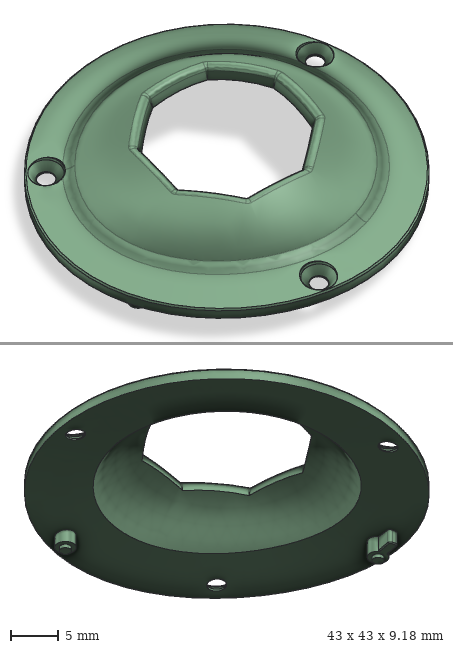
import cadquery as cq
import math

FLANGE_RADIUS = 21.5
FLANGE_THICKNESS = 1.33
FLANGE_SLOPE = 0.1
FLANGE_EDGE_CHAMFER = 0.18
RIM_BOTTOM_HEIGHT = 1.87
RIPPLES = ((1, 0.383, -35.4), (2, 0.377, -49.5), (3, 0.128, -56.2))
RIPPLE_POINTS = 36
RING_START_ANGLE = 210

DOME_OUTER_CENTRE_HEIGHT = -9.0
DOME_OUTER_RADIUS = 20.69
DOME_INNER_CENTRE_HEIGHT = -6.9
DOME_INNER_RADIUS = 17.0
DOME_FOOT_FILLET = 2.0
FOOT_BOX = 18.0
FOOT_MIN_LENGTH = 35.0

WINDOW_SIDES = 8
WINDOW_CORNER_RADIUS = 9.3
WINDOW_TAPER = 18.0
WINDOW_TURN = -3.0
WINDOW_CORNER_FILLET = 0.85
WINDOW_EDGE_FILLET = 0.7
WINDOW_RIM_MIN_HEIGHT = 8.5
WINDOW_RIM_BOX = 11.0

PITCH_RADIUS = 19.2
SCREW_ANGLES = (90, 210, 330)
SCREW_HOLE_DIAMETER = 2.1
SCREW_HEAD_DIAMETER = 4.1
SCREW_CONE_DIAMETER = 3.86
SCREW_LIP_DEPTH = 0.25

STUD_ANGLES = (30, 270)
STUD_DIAMETER = 2.3
STUD_BOTTOM = 0.45
TIP_DIAMETER = 1.3

KEY_ANGLE = 270
KEY_LENGTH = 3.1
KEY_WIDTH = 1.16
KEY_CORNER_FILLET = 0.4
KEY_BOTTOM_CHAMFER = 0.12

START_BORE_RADIUS = 5.0
CLEAR_HEIGHT = 15.0


def polar(radius, degrees):
    angle = math.radians(degrees)
    return radius * math.cos(angle), radius * math.sin(angle)


def ripple(degrees):
    return sum(
        height * math.cos(math.radians(waves * (degrees - crest)))
        for waves, height, crest in RIPPLES
    )


def flange_bottom(radius, degrees):
    """Height of the underside, which is straight along every radius."""
    cone = FLANGE_SLOPE * (FLANGE_RADIUS - radius)
    return RIM_BOTTOM_HEIGHT + cone + ripple(degrees) * radius / FLANGE_RADIUS


def flange_ring(radius, lift):
    """Closed curve around the flange, `lift` above its underside."""
    step = 360 / RIPPLE_POINTS
    points = []
    for i in range(RIPPLE_POINTS):
        degrees = RING_START_ANGLE + i * step
        x, y = polar(radius, degrees)
        points.append(cq.Vector(x, y, flange_bottom(radius, degrees) + lift))
    return cq.Edge.makeSpline(points, periodic=True)


def ruled_ring(rings):
    """Ring-shaped solid with ruled faces from each closed curve to the next, and back to the first."""
    faces = [cq.Face.makeRuledSurface(a, b) for a, b in zip(rings, rings[1:] + rings[:1])]
    return cq.Workplane(cq.Solid.makeSolid(cq.Shell.makeShell(faces)).fix())


def flange():
    edge_height = FLANGE_THICKNESS - FLANGE_EDGE_CHAMFER
    return ruled_ring([
        flange_ring(START_BORE_RADIUS, 0),
        flange_ring(FLANGE_RADIUS, 0),
        flange_ring(FLANGE_RADIUS, edge_height),
        flange_ring(FLANGE_RADIUS - FLANGE_EDGE_CHAMFER, FLANGE_THICKNESS),
        flange_ring(START_BORE_RADIUS, FLANGE_THICKNESS),
    ])


def dome_ball(radius, centre_height):
    return cq.Workplane("XY").sphere(radius).translate((0, 0, centre_height))


def above_flange():
    """Space from the middle of the flange thickness upward, around the starting bore."""
    middle = FLANGE_THICKNESS / 2
    return ruled_ring([
        flange_ring(START_BORE_RADIUS, middle),
        flange_ring(FLANGE_RADIUS, middle),
        flange_ring(FLANGE_RADIUS, CLEAR_HEIGHT),
        flange_ring(START_BORE_RADIUS, CLEAR_HEIGHT),
    ])


def centred_box(half_width, floor):
    """Selector for edges wholly inside a box around the Z axis, above `floor`."""
    return cq.selectors.BoxSelector(
        (-half_width, -half_width, floor),
        (half_width, half_width, CLEAR_HEIGHT),
        boundingbox=True,
    )


def flange_with_dome():
    outside = dome_ball(DOME_OUTER_RADIUS, DOME_OUTER_CENTRE_HEIGHT)
    body = flange().union(outside.intersect(above_flange()))
    foot = body.edges(centred_box(FOOT_BOX, 0)).filter(
        lambda edge: edge.Length() > FOOT_MIN_LENGTH
    )
    inside = dome_ball(DOME_INNER_RADIUS, DOME_INNER_CENTRE_HEIGHT)
    return foot.fillet(DOME_FOOT_FILLET).cut(inside)


def cut_window(body):
    """Cut the octagon and round its corners and its upper edge."""
    bottom = DOME_INNER_CENTRE_HEIGHT + math.sqrt(DOME_INNER_RADIUS**2 - WINDOW_CORNER_RADIUS**2)
    cutter = (
        cq.Workplane("XY", origin=(0, 0, bottom))
        .polygon(WINDOW_SIDES, 2 * WINDOW_CORNER_RADIUS)
        .extrude(CLEAR_HEIGHT - bottom, taper=-WINDOW_TAPER)
        .rotate((0, 0, 0), (0, 0, 1), WINDOW_TURN)
        .edges("not #Z")
        .fillet(WINDOW_CORNER_FILLET)
    )
    opened = body.cut(cutter)
    rim = opened.edges(centred_box(WINDOW_RIM_BOX, WINDOW_RIM_MIN_HEIGHT))
    return rim.fillet(WINDOW_EDGE_FILLET)


def screw_cutter(degrees):
    """Clearance hole with a 45 degree countersink and a steeper lip at the top of the flange."""
    x, y = polar(PITCH_RADIUS, degrees)
    hole_radius = SCREW_HOLE_DIAMETER / 2
    cone_radius = SCREW_CONE_DIAMETER / 2
    head_radius = SCREW_HEAD_DIAMETER / 2
    lip_top = flange_bottom(PITCH_RADIUS, degrees) + FLANGE_THICKNESS
    cone_top = lip_top - SCREW_LIP_DEPTH
    cone_bottom = cone_top - (cone_radius - hole_radius)
    profile = [
        (0, 0),
        (hole_radius, 0),
        (hole_radius, cone_bottom),
        (cone_radius, cone_top),
        (head_radius, lip_top),
        (head_radius, CLEAR_HEIGHT),
        (0, CLEAR_HEIGHT),
    ]
    return cq.Workplane("XZ").polyline(profile).close().revolve().translate((x, y, 0))


def stud_top(degrees):
    """Height inside the flange plate where a stud ends."""
    return flange_bottom(PITCH_RADIUS, degrees) + FLANGE_THICKNESS / 2


def stud(degrees):
    """Round stud under the flange with a narrower tip reaching down to Z = 0."""
    x, y = polar(PITCH_RADIUS, degrees)
    shank = cq.Workplane("XY", origin=(x, y, STUD_BOTTOM)).circle(STUD_DIAMETER / 2)
    tip = cq.Workplane("XY", origin=(x, y, 0)).circle(TIP_DIAMETER / 2)
    height = stud_top(degrees)
    return shank.extrude(height - STUD_BOTTOM).union(tip.extrude(height))


def key():
    """Rib from the centre of the -Y stud toward -X, rounded at its free end."""
    x, y = polar(PITCH_RADIUS, KEY_ANGLE)
    return (
        cq.Workplane("XY", origin=(x - KEY_LENGTH / 2, y, STUD_BOTTOM))
        .rect(KEY_LENGTH, KEY_WIDTH)
        .extrude(stud_top(KEY_ANGLE) - STUD_BOTTOM)
        .edges("|Z and <X")
        .fillet(KEY_CORNER_FILLET)
        .faces("<Z")
        .chamfer(KEY_BOTTOM_CHAMFER)
    )


result = cut_window(flange_with_dome())
for angle in SCREW_ANGLES:
    result = result.cut(screw_cutter(angle))
for angle in STUD_ANGLES:
    result = result.union(stud(angle))
result = result.union(key())